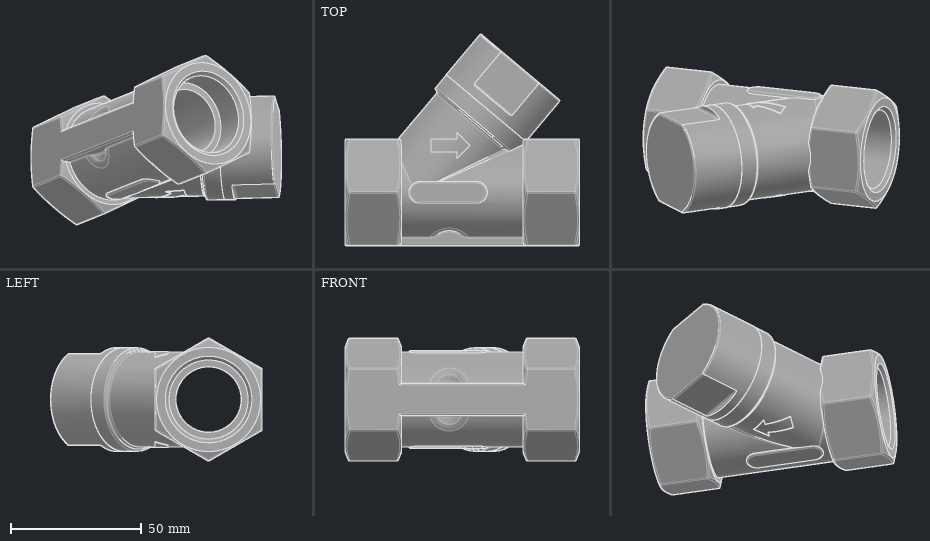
import cadquery as cq
import math

length = 90.0
hex_flats = 41.0
hex_length = 21.8
hex_face_diameter = 40.0
hex_bevel_angle = 21.0
hex_edge_radius = 0.7
tube_radius = 18.3

bore_diameter = 25.0
socket_diameter = 30.3
socket_depth = 13.2
socket_chamfer = 1.4

branch_angle = 50.0
branch_start_x = -18.0
branch_length = 62.7
shoulder_position = 35.0
collar_diameter = 39.8
head_start = 42.2
head_diameter = 40.0
flat_start = 46.1
flat_spacing = 35.2
head_edge_radius = 0.5
junction_fillet = 0.9

rib_width = 12.4
rib_edge_radius = 0.7
rib_overlap = 2.25
rib_root_fillet = 0.45
hollow_x = -5.0
hollow_radius = 8.0
hollow_bottom = 14.7
hollow_fillet = 3.9

plate_x = -5.4
plate_length = 30.1
plate_width = 8.2
plate_height = 18.7
plate_edge_radius = 0.5

arrow_tail_x = -12.1
arrow_y = 18.0
arrow_length = 15.0
arrow_tail_width = 5.0
arrow_head_length = 5.0
arrow_head_width = 10.1
arrow_rise = 0.2

hex_corners = hex_flats / math.cos(math.radians(30))
half_length = length / 2
half_flats = hex_flats / 2
inner_length = length - 2 * hex_length


def cylinder_x(radius, start, end):
    """Cylinder about the X axis between two X positions."""
    return cq.Workplane("YZ", origin=(start, 0, 0)).circle(radius).extrude(end - start)


def hexagon(start):
    """Hexagon prism with both ends bevelled to a cone and its edges rounded."""
    prism = (
        cq.Workplane("YZ", origin=(start, 0, 0))
        .transformed(rotate=(0, 0, 90))
        .polygon(6, hex_corners)
        .extrude(hex_length)
    )
    end_margin = 0.1
    face_radius = hex_face_diameter / 2
    rim_radius = hex_corners / 2 + 0.9
    bevel = (rim_radius - face_radius) * math.tan(math.radians(hex_bevel_angle))
    envelope = (
        cq.Workplane("XY", origin=(start, 0, 0))
        .moveTo(0, 0)
        .lineTo(0, face_radius)
        .lineTo(bevel, rim_radius)
        .lineTo(hex_length - bevel, rim_radius)
        .lineTo(hex_length, face_radius)
        .lineTo(hex_length, 0)
        .close()
        .revolve(360, (0, 0, 0), (1, 0, 0))
    )
    between_end_faces = cq.selectors.BoxSelector(
        (start + end_margin, -hex_corners, -hex_corners),
        (start + hex_length - end_margin, hex_corners, hex_corners),
    )
    return prism.intersect(envelope).edges(between_end_faces).fillet(hex_edge_radius)


def on_branch(distance):
    """Work plane square to the branch; its local Y is the part's Z."""
    angle = math.radians(branch_angle)
    direction = (math.cos(angle), math.sin(angle), 0)
    origin = (branch_start_x + distance * direction[0], distance * direction[1], 0)
    return cq.Workplane(cq.Plane(origin, (math.sin(angle), -math.cos(angle), 0), direction))


def branch_profile_plane():
    """Work plane through the branch axis; its local Y runs along the branch."""
    square = on_branch(0).plane
    return cq.Workplane(cq.Plane(square.origin, square.xDir, -square.yDir))


def branch_head():
    """Stepped branch end: rounded shoulder, collar and a head with two wrench flats."""
    collar_radius = collar_diameter / 2
    head_radius = head_diameter / 2
    shoulder_radius = (collar_radius - tube_radius) / 2
    neck_end = shoulder_position - shoulder_radius
    collar_start = shoulder_position + shoulder_radius
    middle_radius = tube_radius + shoulder_radius
    body = (
        branch_profile_plane()
        .moveTo(0, neck_end)
        .lineTo(tube_radius, neck_end)
        .radiusArc((middle_radius, shoulder_position), shoulder_radius)
        .radiusArc((collar_radius, collar_start), -shoulder_radius)
        .lineTo(collar_radius, head_start)
        .lineTo(head_radius, head_start)
        .lineTo(head_radius, branch_length)
        .lineTo(0, branch_length)
        .close()
        .revolve(360, (0, 0, 0), (0, 1, 0))
    )
    block_size = 2 * head_diameter
    flats = (
        on_branch(flat_start)
        .rect(block_size, flat_spacing)
        .extrude(branch_length)
    )
    beside_flats = (
        on_branch(flat_start)
        .rect(block_size, block_size)
        .extrude(branch_length)
        .cut(flats)
    )
    head = body.cut(beside_flats)
    square = on_branch(0).plane
    flat_ends = head.edges(cq.selectors.ParallelDirSelector(square.xDir))
    end_rim = head.faces(cq.selectors.DirectionMinMaxSelector(square.zDir)).edges("%CIRCLE")
    return flat_ends.add(end_rim).fillet(head_edge_radius)


def run_and_neck():
    """Tube and branch neck, blended ahead of the branch, with a hollow on each side of the rib."""
    tube = cylinder_x(tube_radius, -inner_length / 2 - 0.9, inner_length / 2 + 0.9)
    neck = on_branch(0).circle(tube_radius).extrude(shoulder_position)
    hollow = (
        cq.Workplane("XY")
        .center(hollow_x, -hollow_bottom - hollow_radius)
        .circle(hollow_radius)
        .extrude(tube_radius, both=True)
    )
    tube = tube.cut(hollow)
    hollow_rims = tube.edges(cq.selectors.BoxSelector(
        (hollow_x - hollow_radius, -tube_radius, -tube_radius),
        (hollow_x + hollow_radius, -hollow_bottom, tube_radius),
    ))
    body = hollow_rims.fillet(hollow_fillet).union(neck)
    junction = body.edges("%ELLIPSE").edges(cq.selectors.BoxSelector(
        (branch_start_x + tube_radius / 2, 0, -tube_radius),
        (inner_length / 2, tube_radius, tube_radius),
    ))
    return junction.fillet(junction_fillet)


def rib():
    """Flat rib between the hexagons, level with their -Y flats."""
    return (
        cq.Workplane("XY")
        .box(inner_length + 2 * rib_overlap, half_flats - bore_diameter / 2, rib_width)
        .edges("|X and <Y")
        .fillet(rib_edge_radius)
        .translate((0, -(half_flats + bore_diameter / 2) / 2, 0))
    )


def body_with_rib():
    """Tube and neck joined to the rib, with a small fillet along both rib roots."""
    body = run_and_neck().union(rib())
    tolerance = 0.1
    lower_root, upper_root = [
        cq.selectors.BoxSelector(
            (-inner_length / 2, -tube_radius, side * rib_width / 2 - tolerance),
            (inner_length / 2, -hollow_bottom, side * rib_width / 2 + tolerance),
        )
        for side in (-1, 1)
    ]
    return body.edges(lower_root + upper_root).fillet(rib_root_fillet)


def name_plate():
    """Rounded plate standing out of the tube at the top and the bottom."""
    return (
        cq.Workplane("XY", origin=(plate_x, 0, -plate_height))
        .slot2D(plate_length, plate_width)
        .extrude(2 * plate_height)
        .faces("|Z")
        .edges()
        .fillet(plate_edge_radius)
    )


def flow_arrow():
    """Arrow along +X following the round branch surface, slightly raised."""
    shaft_length = arrow_length - arrow_head_length
    outline = (
        cq.Workplane("XY", origin=(arrow_tail_x, arrow_y, -2 * tube_radius))
        .moveTo(0, -arrow_tail_width / 2)
        .lineTo(shaft_length, -arrow_tail_width / 2)
        .lineTo(shaft_length, -arrow_head_width / 2)
        .lineTo(arrow_length, 0)
        .lineTo(shaft_length, arrow_head_width / 2)
        .lineTo(shaft_length, arrow_tail_width / 2)
        .lineTo(0, arrow_tail_width / 2)
        .close()
        .extrude(4 * tube_radius)
    )
    skin = on_branch(0).circle(tube_radius + arrow_rise).extrude(shoulder_position)
    return outline.intersect(skin)


def run_bore():
    """Through bore with a chamfered socket at each end."""
    bore = cylinder_x(bore_diameter / 2, -half_length, half_length)
    for side in (-1, 1):
        mouth = (
            cq.Workplane("YZ", origin=(side * half_length, 0, 0))
            .circle(socket_diameter / 2 + socket_chamfer)
            .workplane(offset=-side * socket_chamfer)
            .circle(socket_diameter / 2)
            .loft(ruled=True)
        )
        socket = cylinder_x(socket_diameter / 2, side * (half_length - socket_depth), side * half_length)
        bore = bore.union(socket).union(mouth)
    return bore


fitting = (
    body_with_rib()
    .union(branch_head())
    .union(hexagon(-half_length))
    .union(hexagon(half_length - hex_length))
    .union(name_plate())
    .union(flow_arrow())
    .cut(run_bore())
)

rear_junction = fitting.edges("%ELLIPSE").edges(cq.selectors.BoxSelector(
    (-inner_length / 2, plate_width / 2, -tube_radius),
    (branch_start_x, tube_radius / 2, tube_radius),
))
result = rear_junction.fillet(junction_fillet)